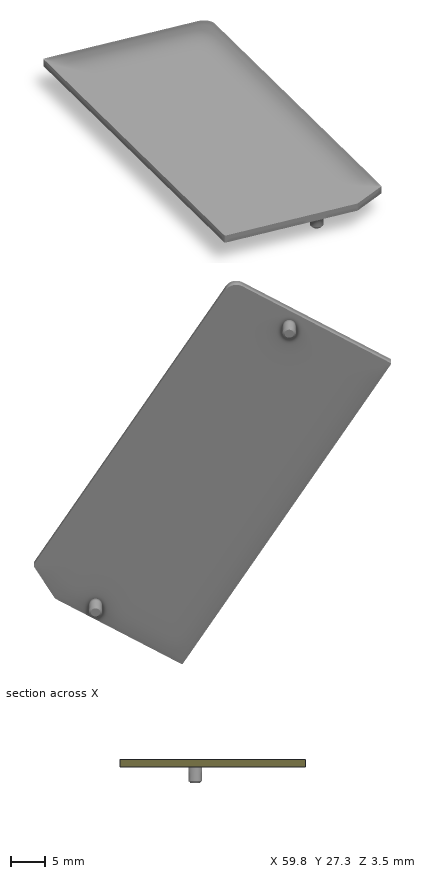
import cadquery as cq

length = 59.8
width = 27.3
plate_thickness = 1.2
corner_radius = 1.8
edge_radius = 0.1
cut_length = 3.1
cut_width = 5.5

total_height = 3.5
peg_length = total_height - plate_thickness
peg_diameter = 2.0
peg_chamfer = 0.3
peg_inset = 2.2
peg_y = 16.2


def make_plate():
    """Plate with a slanted back right corner and its other corners rounded."""
    outline = [
        (0, 0),
        (length, 0),
        (length, width - cut_width),
        (length - cut_length, width),
        (0, width),
    ]
    plate = cq.Workplane("XY").polyline(outline).close().extrude(plate_thickness)
    plate = plate.edges("|Z and <X and >Y").fillet(corner_radius)
    return plate.edges("|Z and <Y").fillet(edge_radius)


def make_peg(x):
    """Round peg hanging from the plate, chamfered at its free end."""
    peg = cq.Workplane("XY").center(x, peg_y).circle(peg_diameter / 2).extrude(-peg_length)
    return peg.faces("<Z").edges().chamfer(peg_chamfer)


result = make_plate()
for peg_x in (peg_inset, length - peg_inset):
    result = result.union(make_peg(peg_x))